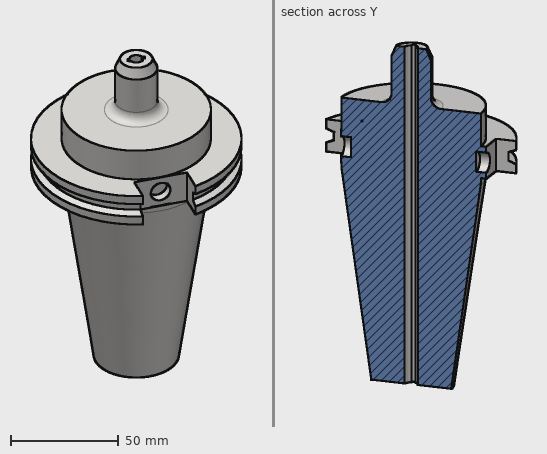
import cadquery as cq

total_height = 165.1
pin_height = 28.4
collar_height = 16.0
flange_height = 15.8
land_height = 3.0
pin_base_z = total_height - pin_height
flange_top_z = pin_base_z - collar_height
flange_bottom_z = flange_top_z - flange_height
flange_middle_z = (flange_top_z + flange_bottom_z) / 2
taper_top_z = flange_bottom_z - land_height

collar_diameter = 69.8
collar_radius = collar_diameter / 2
flange_radius = 49.2
taper_ratio = 7 / 24
taper_bottom_radius = collar_radius - taper_top_z * taper_ratio / 2

pin_radius = 9.9
pin_tip_radius = 7.6
pin_tip_height = 5.1
pin_fillet = 5.0

groove_floor_radius = 45.5
groove_floor_width = 4.1
groove_mouth_width = 7.0

left_slot_floor = 37.5
right_slot_floor = 35.2
slot_width = 26.0
side_hole_diameter = 9.5
side_hole_depth = 5.0

bore_radius = 3.1
coolant_groove_radius = 1.0
coolant_groove_offset = 3.3


def turned_body():
    """Revolve the shank, flange, collar and pin in one profile."""
    half_floor = groove_floor_width / 2
    half_mouth = groove_mouth_width / 2
    return (
        cq.Workplane("XZ")
        .lineTo(taper_bottom_radius, 0)
        .lineTo(collar_radius, taper_top_z)
        .lineTo(collar_radius, flange_bottom_z)
        .lineTo(flange_radius, flange_bottom_z)
        .lineTo(flange_radius, flange_middle_z - half_mouth)
        .lineTo(groove_floor_radius, flange_middle_z - half_floor)
        .lineTo(groove_floor_radius, flange_middle_z + half_floor)
        .lineTo(flange_radius, flange_middle_z + half_mouth)
        .lineTo(flange_radius, flange_top_z)
        .lineTo(collar_radius, flange_top_z)
        .lineTo(collar_radius, pin_base_z)
        .lineTo(pin_radius + pin_fillet, pin_base_z)
        .radiusArc((pin_radius, pin_base_z + pin_fillet), pin_fillet)
        .lineTo(pin_radius, total_height - pin_tip_height)
        .lineTo(pin_tip_radius, total_height)
        .lineTo(0, total_height)
        .close()
        .revolve(360, (0, 0, 0), (0, 1, 0))
    )


def drive_slot(side, floor_distance):
    """Slot through the flange and its floor hole; side is +1 or -1 along X."""
    slot_depth = flange_radius - floor_distance
    slot = (
        cq.Workplane("XY", origin=(side * (floor_distance + slot_depth / 2), 0, flange_bottom_z))
        .rect(slot_depth, slot_width)
        .extrude(flange_height)
    )
    hole = (
        cq.Workplane("YZ", origin=(side * floor_distance, 0, flange_middle_z))
        .circle(side_hole_diameter / 2)
        .extrude(-side * side_hole_depth)
    )
    return slot.union(hole)


def coolant_bore():
    """Round bore joined with a small groove on its +Y and -Y sides."""
    bore = cq.Workplane("XY").circle(bore_radius).extrude(total_height)
    grooves = (
        cq.Workplane("XY")
        .pushPoints([(0, coolant_groove_offset), (0, -coolant_groove_offset)])
        .circle(coolant_groove_radius)
        .extrude(total_height)
    )
    return bore.union(grooves)


result = turned_body()
for side, floor_distance in ((-1, left_slot_floor), (1, right_slot_floor)):
    result = result.cut(drive_slot(side, floor_distance))
result = result.cut(coolant_bore())